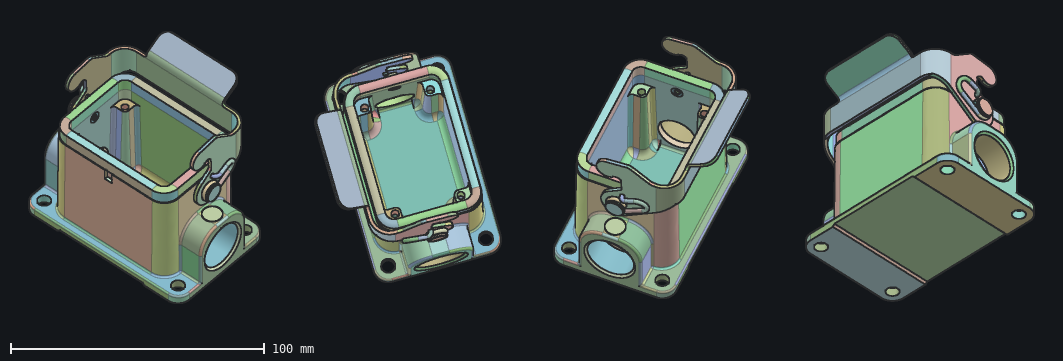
import cadquery as cq
import math

flange_length = 82.0
flange_width = 52.0
flange_height = 4.0
flange_corner_radius = 6.0
flange_edge_round = 0.7
mount_spacing_x = 70.0
mount_spacing_y = 40.0
mount_diameter = 5.6
relief_length = 43.3
relief_height = 1.0

shoulder_z = 45.7
body_length = 61.0
body_width = 44.0
body_corner_radius = 7.7
body_draft = 0.6
root_round = 0.8

rim_top_z = 51.4
rim_length = 59.4
rim_width = 42.6
rim_corner_radius = 7.3
rim_crown = 0.5
rim_wall = 3.7

cavity_length = rim_length - 2 * rim_wall
cavity_width = rim_width - 2 * rim_wall
cavity_corner_radius = rim_corner_radius - rim_wall
cavity_draft = 0.3
floor_z = 4.0
floor_round = 3.0
floor_end_round = 1.0
floor_end_reach = 7.0

post_top_z = 40.0
post_inner_x = 19.6
post_inner_y = 11.1
post_corner_radius = 3.0
post_draft = 1.8
post_wall_round = 1.6
post_hole_x = 22.0
post_hole_y = 13.45
post_hole_diameter = 3.0
post_hole_depth = 9.8
drill_point_angle = 118.0

entry_z = 14.6
entry_width = 26.9
entry_top_z = 29.2
entry_corner_radius = 10.0
entry_edge_round = 1.0
entry_bore_diameter = 20.0
entry_bore_depth = 12.5
entry_bore_chamfer = 1.0
entry_hole_diameter = 16.0
pad_diameter = 8.4
pad_x = 35.4
pad_height = 0.25

slot_width = 3.6
slot_height = 4.9
slot_depth = 1.2

sheet = 1.5
lever_half_width = 33.4
lever_back_y = 25.1
lever_corner_radius = 8.5
lever_back_top_z = 61.5
lever_back_bottom_z = 49.2

pivot_z = 41.9
arm_radius = 7.05
arm_angle = 34.2
hook_y = -4.5
hook_z = 62.1
hook_radius = 4.6
hook_slope = 5.9
shoulder_foot_y = 14.35
shoulder_peak_y = 4.9
shoulder_foot_round = 4.1
shoulder_peak_round = 3.3
notch_y = 1.9
notch_root_round = 1.6
notch_top_y = -0.3
notch_top_z = 58.95
notch_start_y = 1.55
notch_start_z = 57.6
hook_lip_angle = -58.0

tab_width = 39.85
tab_bend_radius = 2.1
tab_angle = 60.0
tab_tip_y = 35.5
tab_corner_radius = 4.6
tab_root_round = 1.15

pin_diameter = 4.8
pin_neck_diameter = 5.6
pin_head_diameter = 8.0
pin_head_inner_x = 35.3
pin_head_outer_x = 36.6
pin_head_chamfer = 0.25
pin_dimple_diameter = 2.4
pin_dimple_depth = 0.4

wire_radius = 1.0
coil_radius = 3.6
coil_x = 34.3
coil_start_angle = 20.0
clip_leg_angle = 30.0
clip_leg_length = 11.1
clip_bend_radius = 3.6
clip_bend_angle = 172.0
clip_return_length = 4.1
clip_tilt = 12.0
clip_hook_radius = 2.5
clip_tip_x = 31.0

SIDES = (-1, 1)


def rounded_prism(length, width, radius, z_bottom, z_top, draft=0.0):
    """Upright prism on a rounded rectangle; a positive draft narrows it upwards."""
    outline = cq.Sketch().rect(length, width).vertices().fillet(radius)
    base = cq.Workplane("XY").workplane(offset=z_bottom).placeSketch(outline)
    return base.extrude(z_top - z_bottom, taper=draft)


def x_cylinder(diameter, x_start, x_end, z):
    """Cylinder along X, centred on Y = 0."""
    start = cq.Workplane("YZ", origin=(x_start, 0, z))
    return start.circle(diameter / 2).extrude(x_end - x_start)


def mirrored_pair(left):
    """The shape and its mirror image across the YZ plane."""
    return left.union(left.mirror("YZ"))


def make_flange():
    plate = rounded_prism(flange_length, flange_width, flange_corner_radius, 0, flange_height)
    return plate.faces(">Z").edges().fillet(flange_edge_round)


def make_entry_boss():
    """Arched boss on the -X end; it reaches into the body wall."""
    start = cq.Workplane("YZ", origin=(-flange_length / 2, 0, 0))
    boss = start.rect(entry_width, 2 * entry_top_z).extrude(flange_length / 2 - cavity_length / 2)
    boss = boss.edges("|X and >Z").fillet(entry_corner_radius)
    boss = boss.faces("<X").edges().fillet(entry_edge_round)
    above_ground = cq.Workplane("XY", origin=(0, 0, entry_top_z))
    above_ground = above_ground.box(2 * flange_length, flange_width, 2 * entry_top_z)
    return boss.intersect(above_ground)


def make_outer_shell():
    body = rounded_prism(body_length, body_width, body_corner_radius, flange_height, shoulder_z, body_draft)
    shell = make_flange().union(body)
    shell = shell.union(mirrored_pair(make_entry_boss()))
    return round_roots(shell)


def round_roots(shell):
    """Round the inside corners where the body and the bosses meet each other and the flange."""
    clearance = 0.1
    wall_x = body_length / 2 + clearance
    foot_box = cq.selectors.BoxSelector(
        (-wall_x, -body_width / 2 - clearance, flange_height - clearance),
        (wall_x, body_width / 2 + clearance, flange_height + clearance),
    )
    selection = shell.edges(foot_box)
    for side in SIDES:
        boss_box = cq.selectors.BoxSelector(
            (side * cavity_length / 2, -entry_width / 2 - clearance, flange_height - clearance),
            (side * (flange_length / 2 - clearance), entry_width / 2 + clearance, entry_top_z + clearance),
        )
        selection = selection.add(shell.edges(boss_box))
    return selection.fillet(root_round)


def make_rim():
    """Rim with a crowned top; the crown is an arc that follows the middle of the wall."""
    crown_foot_z = rim_top_z - rim_crown
    rim = rounded_prism(rim_length, rim_width, rim_corner_radius, shoulder_z, crown_foot_z)
    middle = rounded_prism(
        rim_length - rim_wall, rim_width - rim_wall, rim_corner_radius - rim_wall / 2, crown_foot_z, rim_top_z
    )
    path = middle.faces("<Z").wires().val()
    along = path.tangentAt(0)
    section_plane = cq.Plane(path.startPoint(), xDir=along.cross(cq.Vector(0, 0, 1)), normal=along)
    section = cq.Workplane(section_plane).moveTo(-rim_wall / 2, 0)
    rise = rim_crown * section_plane.yDir.z
    section = section.threePointArc((0, rise), (rim_wall / 2, 0)).close()
    return rim.union(section.sweep(cq.Workplane(path)))


def make_post(side_x, side_y):
    """Post filling one corner of the cavity, narrowing upwards on its free faces."""
    height = post_top_z - floor_z
    growth = height * math.tan(math.radians(post_draft))
    foot_length = cavity_length - 2 * (post_inner_x - growth)
    foot_width = cavity_width - 2 * (post_inner_y - growth)
    overrun = 2 * post_corner_radius
    outline = cq.Sketch().rect(foot_length + overrun, foot_width + overrun)
    outline = outline.vertices().fillet(post_corner_radius)
    center = (side_x * (cavity_length + overrun) / 2, side_y * (cavity_width + overrun) / 2, floor_z)
    return cq.Workplane("XY", origin=center).placeSketch(outline).extrude(height, taper=post_draft)


def make_lower_prism():
    """Lower cavity before the posts are added, narrowing from the shoulder down to the floor."""
    outline = cq.Sketch().rect(cavity_length, cavity_width).vertices().fillet(cavity_corner_radius)
    top = cq.Workplane("XY").workplane(offset=shoulder_z).placeSketch(outline)
    return top.extrude(floor_z - shoulder_z, taper=cavity_draft)


def make_cavity():
    """Space inside the housing, with sharper floor rounds along the short walls between the posts."""
    lower = make_lower_prism()
    joint_z = (floor_z + post_top_z) / 2
    joints = []
    for side_x in SIDES:
        for side_y in SIDES:
            lower = lower.cut(make_post(side_x, side_y))
            joints.append((side_x * post_inner_x, side_y * cavity_width / 2, joint_z))
            joints.append((side_x * cavity_length / 2, side_y * post_inner_y, joint_z))
    for joint in joints:
        lower = lower.edges(cq.selectors.NearestToPointSelector(joint)).fillet(post_wall_round)
    lower = lower.faces("<Z").edges().fillet(floor_round)

    middle = cq.Workplane("XY").box(cavity_length, 2 * floor_end_reach, 2 * shoulder_z)
    short_walls = make_lower_prism().faces("<Z").edges().fillet(floor_end_round).intersect(middle)
    upper = rounded_prism(cavity_length, cavity_width, cavity_corner_radius, shoulder_z, rim_top_z)
    return lower.union(short_walls).union(upper)


def cut_post_holes(housing):
    """Blind holes with a drill point in the tops of the posts."""
    radius = post_hole_diameter / 2
    point_height = radius / math.tan(math.radians(drill_point_angle / 2))
    profile = cq.Workplane("XZ").moveTo(0, 0).lineTo(radius, 0).lineTo(radius, -post_hole_depth)
    profile = profile.lineTo(0, -post_hole_depth - point_height).close()
    drill = profile.revolve(360, (0, 0, 0), (0, 1, 0))
    for side_x in SIDES:
        for side_y in SIDES:
            housing = housing.cut(drill.translate((side_x * post_hole_x, side_y * post_hole_y, post_top_z)))
    return housing


def make_entry_cutter():
    """Counterbored, chamfered cable hole through the -X end."""
    outer_x = -flange_length / 2
    bore_end_x = outer_x + entry_bore_depth
    cutter = x_cylinder(entry_bore_diameter, outer_x, bore_end_x, entry_z)
    lead_in = cq.Solid.makeCone(
        entry_bore_diameter / 2 + entry_bore_chamfer, entry_bore_diameter / 2, entry_bore_chamfer,
        pnt=cq.Vector(outer_x, 0, entry_z), dir=cq.Vector(1, 0, 0),
    )
    hole = x_cylinder(entry_hole_diameter, outer_x, 0, entry_z)
    return cutter.union(cq.Workplane(lead_in)).union(hole)


def make_pad():
    """Low round pad on top of the +X boss."""
    pad = cq.Workplane("XY", origin=(pad_x, 0, entry_z)).circle(pad_diameter / 2)
    pad = pad.extrude(entry_top_z + pad_height - entry_z)
    bore = x_cylinder(entry_bore_diameter, 0, flange_length, entry_z)
    return pad.cut(bore)


def make_housing():
    housing = make_outer_shell().union(make_rim()).cut(make_cavity())
    housing = housing.cut(mirrored_pair(make_entry_cutter())).union(make_pad())
    housing = cut_post_holes(housing)

    mounts = cq.Workplane("XY").rect(mount_spacing_x, mount_spacing_y, forConstruction=True).vertices()
    housing = housing.cut(mounts.circle(mount_diameter / 2).extrude(flange_height))

    relief = cq.Workplane("XZ").moveTo(-relief_length / 2 - relief_height, 0)
    relief = relief.lineTo(relief_length / 2 + relief_height, 0).lineTo(relief_length / 2, relief_height)
    relief = relief.lineTo(-relief_length / 2, relief_height).close()
    housing = housing.cut(relief.extrude(flange_width / 2, both=True))

    slot_front_y = -body_width / 2
    slot_back_y = slot_depth - rim_width / 2
    slot = cq.Workplane("XY", origin=(0, slot_front_y, shoulder_z - slot_height))
    slot = slot.box(slot_width, slot_back_y - slot_front_y, slot_height, centered=(True, False, False))
    housing = housing.cut(slot)

    pin_hole = x_cylinder(pin_diameter, -flange_length / 2, flange_length / 2, pivot_z)
    return housing.cut(pin_hole)


def on_circle(center_y, center_z, radius, angle):
    """Point in the YZ plane; the angle is measured from +Y towards +Z."""
    turn = math.radians(angle)
    return (center_y + radius * math.cos(turn), center_z + radius * math.sin(turn))


def make_arm_profile():
    """Side outline of both arms, extruded across the full width of the lever."""
    hook_start = on_circle(hook_y, hook_z, hook_radius, 90 + hook_slope)
    hook_front = on_circle(hook_y, hook_z, hook_radius, 180)
    hook_end = on_circle(hook_y, hook_z, hook_radius, hook_lip_angle)
    top_slope = math.tan(math.radians(hook_slope))
    shoulder_peak = (shoulder_peak_y, hook_start[1] + (shoulder_peak_y - hook_start[0]) * top_slope)
    shoulder_foot = (shoulder_foot_y, lever_back_top_z)
    upper_tangent = on_circle(0, pivot_z, arm_radius, 90 + arm_angle)
    eye_front = on_circle(0, pivot_z, arm_radius, 180 + arm_angle)
    lower_tangent = on_circle(0, pivot_z, arm_radius, arm_angle - 90)
    slope = math.tan(math.radians(arm_angle))
    notch_root = (notch_y, upper_tangent[1] + (notch_y - upper_tangent[0]) * slope)
    back_foot = (lower_tangent[0] + (lever_back_bottom_z - lower_tangent[1]) / slope, lever_back_bottom_z)

    outline = cq.Workplane("YZ").moveTo(lever_back_y, lever_back_top_z)
    outline = outline.lineTo(*shoulder_foot).lineTo(*shoulder_peak).lineTo(*hook_start)
    outline = outline.threePointArc(hook_front, hook_end)
    outline = outline.threePointArc((notch_top_y, notch_top_z), (notch_start_y, notch_start_z))
    outline = outline.lineTo(*notch_root).lineTo(*upper_tangent)
    outline = outline.threePointArc(eye_front, lower_tangent)
    outline = outline.lineTo(*back_foot).lineTo(lever_back_y, lever_back_bottom_z).close()
    profile = outline.extrude(lever_half_width, both=True)
    for corner, radius in (
        (shoulder_foot, shoulder_foot_round),
        (shoulder_peak, shoulder_peak_round),
        (notch_root, notch_root_round),
    ):
        nearest = cq.selectors.NearestToPointSelector((0, *corner))
        profile = profile.edges("|X").edges(nearest).fillet(radius)
    return profile


def make_bail():
    """U-shaped sheet around the back and sides, trimmed to the arm profile."""
    depth = lever_back_y - hook_y + 2 * hook_radius
    front_y = lever_back_y - depth

    def block(inset):
        base = cq.Workplane("XY", origin=(0, front_y, 0))
        solid = base.rect(2 * (lever_half_width - inset), 2 * (depth - inset)).extrude(2 * lever_back_top_z)
        return solid.edges("|Z").fillet(lever_corner_radius - inset)

    wall = block(0).cut(block(sheet))
    return wall.intersect(make_arm_profile())


def make_tab_front():
    """Prism along Y with the front outline of the tab: straight sides that flare at the root."""
    reach_z = 2 * tab_width
    flared_width = tab_width + 2 * tab_root_round
    flared_z = lever_back_top_z + tab_root_round
    root = cq.Workplane("XZ", origin=(0, 0, lever_back_top_z))
    upright = root.rect(tab_width, reach_z).extrude(-2 * tab_tip_y)
    foot = root.rect(flared_width, 2 * tab_root_round).extrude(-2 * tab_tip_y)
    hollows = cq.Workplane("XZ").pushPoints([(side * flared_width / 2, flared_z) for side in SIDES])
    return foot.cut(hollows.circle(tab_root_round).extrude(-2 * tab_tip_y)).union(upright)


def make_tab():
    """Finger tab that bends back from the top edge of the lever."""
    outer_radius = tab_bend_radius + sheet
    center_y = lever_back_y + tab_bend_radius
    inner_end = on_circle(center_y, lever_back_top_z, tab_bend_radius, 180 - tab_angle)
    inner_mid = on_circle(center_y, lever_back_top_z, tab_bend_radius, 180 - tab_angle / 2)
    outer_end = on_circle(center_y, lever_back_top_z, outer_radius, 180 - tab_angle)
    outer_mid = on_circle(center_y, lever_back_top_z, outer_radius, 180 - tab_angle / 2)
    step_y = tab_tip_y - inner_end[0]
    step_z = step_y * math.tan(math.radians(90 - tab_angle))

    outline = cq.Workplane("YZ").moveTo(lever_back_y, lever_back_top_z)
    outline = outline.threePointArc(inner_mid, inner_end).line(step_y, step_z)
    outline = outline.lineTo(outer_end[0] + step_y, outer_end[1] + step_z).lineTo(*outer_end)
    outline = outline.threePointArc(outer_mid, (lever_back_y - sheet, lever_back_top_z)).close()
    tab = outline.extrude(tab_width / 2 + tab_root_round, both=True).intersect(make_tab_front())
    return tab.faces(">Y").edges("not |X").fillet(tab_corner_radius)


def make_pin():
    """Headed pivot pin on the -X side."""
    inner_x = -cavity_length / 2
    pin = x_cylinder(pin_diameter, -lever_half_width, inner_x, pivot_z)
    neck = x_cylinder(pin_neck_diameter, -pin_head_inner_x, -lever_half_width, pivot_z)
    head = x_cylinder(pin_head_diameter, -pin_head_outer_x, -pin_head_inner_x, pivot_z)
    head = head.edges().chamfer(pin_head_chamfer)
    dimple = x_cylinder(pin_dimple_diameter, inner_x - pin_dimple_depth, inner_x, pivot_z)
    return pin.union(neck).union(head).cut(dimple)


def make_clip():
    """Wire spring on the -X side: coil, straight leg, return bend and a hook through the arm."""
    leg_turn = math.radians(clip_leg_angle)
    tilt = math.radians(clip_tilt)
    center = cq.Vector(-coil_x, 0, pivot_z)

    def coil_point(angle):
        return cq.Vector(-coil_x, *on_circle(0, pivot_z, coil_radius, angle))

    tangent_angle = clip_leg_angle + 270
    leg_start = coil_point(tangent_angle)
    along = cq.Vector(0, math.cos(leg_turn), math.sin(leg_turn))
    inward = (center - leg_start).normalized()
    across = inward * math.cos(tilt) + cq.Vector(-math.sin(tilt), 0, 0)

    leg_end = leg_start + along * clip_leg_length
    bend_center = leg_end + across * clip_bend_radius

    def bend_point(angle):
        turn = math.radians(angle)
        return bend_center + (along * math.sin(turn) - across * math.cos(turn)) * clip_bend_radius

    bend_end = bend_point(clip_bend_angle)
    bend_turn = math.radians(clip_bend_angle)
    back = along * math.cos(bend_turn) + across * math.sin(bend_turn)
    hook_start = bend_end + back * clip_return_length

    side = cq.Vector(1, 0, 0) - back * back.x
    side = side.normalized()
    hook_center = hook_start + side * clip_hook_radius
    hook_mid = hook_center + (back - side) * (clip_hook_radius / math.sqrt(2))
    hook_end = hook_center + back * clip_hook_radius
    tip = hook_end + side * ((-clip_tip_x - hook_end.x) / side.x)

    coil_middle = coil_point((coil_start_angle + tangent_angle) / 2)
    path = cq.Wire.assembleEdges([
        cq.Edge.makeThreePointArc(coil_point(coil_start_angle), coil_middle, leg_start),
        cq.Edge.makeLine(leg_start, leg_end),
        cq.Edge.makeThreePointArc(leg_end, bend_point(clip_bend_angle / 2), bend_end),
        cq.Edge.makeLine(bend_end, hook_start),
        cq.Edge.makeThreePointArc(hook_start, hook_mid, hook_end),
        cq.Edge.makeLine(hook_end, tip),
    ])
    start_plane = cq.Plane(path.startPoint(), xDir=(1, 0, 0), normal=path.tangentAt(0))
    return cq.Workplane(start_plane).circle(wire_radius).sweep(cq.Workplane(path))


def make_lever():
    lever = make_bail().union(make_tab())
    fittings = make_pin().union(make_clip())
    return lever.union(mirrored_pair(fittings))


housing = make_housing()
lever = make_lever()
result = cq.Compound.makeCompound([housing.val(), lever.val()])